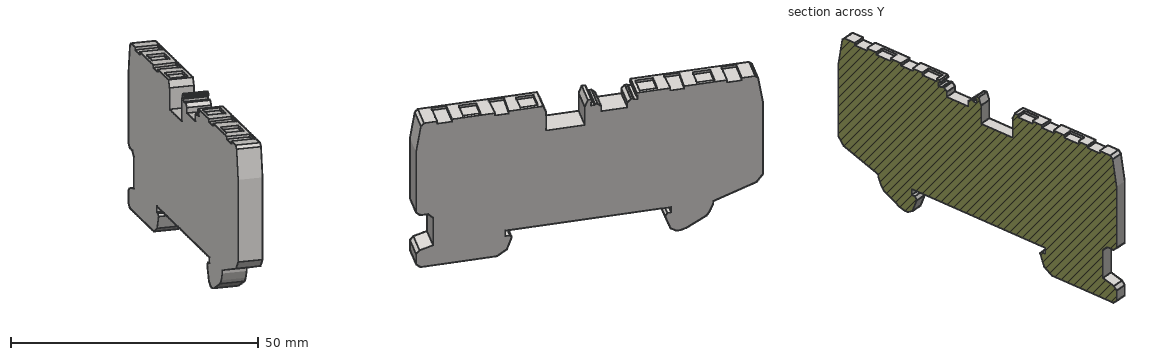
import cadquery as cq

length = 72.4
thickness = 5.2
height = 35.4

rail_z = 6.0
lip_z = 4.7
groove_z = 33.9
shoulder_z = 34.1
slot_left = 38.65
slot_right = 44.1
slot_floor_z = 32.15
notch_left = 27.15
notch_right = 35.2
notch_floor_z = 29.3
neck_x = 3.55

taper_start_z = 28.5
taper_end_z = 34.75
taper_inset = 1.0
bevel_inset = 1.7

mirror_x = length / 2
pocket_depth = 0.6
pocket_back_wall = 0.35
end_pocket = (4.4, 7.5)
mid_pocket_front = (16.5, 19.3)
mid_pocket_back = (16.3, 19.55)
window_size = 3.7
window_centers = (11.8, 23.75)
window_offset_y = -0.1

front_y = -thickness / 2
back_y = thickness / 2


def body():
    """Flat housing: the side outline extruded through the thickness."""
    left_end = [
        (bevel_inset, height),
        (taper_inset, taper_end_z),
        (0, taper_start_z),
        (0, 13.6),
        (0.9, 12.8),
        (2.5, 12.8),
        (neck_x, 11.7),
        (neck_x, 5.0),
        (0.7, 4.2),
        (0, 3.4),
        (0, 0.9),
        (0.9, 0),
    ]
    left_foot = [
        (16.9, 0),
        (19.0, 1.4),
        (20.0, 4.2),
        (19.55, lip_z),
        (18.6, lip_z),
        (18.6, rail_z),
    ]
    right_foot = [
        (53.2, rail_z),
        (53.2, lip_z),
        (52.4, lip_z),
        (51.9, 3.9),
        (53.1, 0.8),
        (54.3, 0),
        (55.2, 0),
        (56.4, 0.35),
        (60.6, 2.7),
        (61.25, 3.6),
        (62.0, 5.3),
        (62.05, rail_z),
    ]
    right_end = [
        (71.0, 9.2),
        (length, 11.0),
        (length, taper_start_z),
        (length - taper_inset, taper_end_z),
        (length - bevel_inset, height),
    ]
    marker_slot = [
        (46.05, height),
        (45.8, 34.9),
        (46.25, 34.7),
        (46.25, groove_z),
        (45.55, groove_z),
        (45.25, shoulder_z),
        (44.8, shoulder_z),
        (slot_right, 33.4),
        (slot_right, slot_floor_z),
        (slot_left, slot_floor_z),
        (slot_left, 33.3),
        (37.9, shoulder_z),
        (37.35, shoulder_z),
        (37.2, groove_z),
        (36.5, groove_z),
        (36.5, 34.45),
        (36.7, 34.8),
        (36.7, 35.1),
        (36.55, height),
        (35.85, height),
    ]
    notch = [
        (notch_right, 33.75),
        (notch_right, notch_floor_z),
        (notch_left, notch_floor_z),
        (notch_left, 33.9),
        (26.5, height),
    ]
    outline = left_end + left_foot + right_foot + right_end + marker_slot + notch
    return cq.Workplane("XZ", origin=(0, back_y, 0)).polyline(outline).close().extrude(thickness)


def top_cut(points):
    """Shallow pocket cut into the top edge, given its plan corners."""
    floor = cq.Workplane("XY", origin=(0, 0, height - pocket_depth))
    return floor.polyline(points).close().extrude(pocket_depth)


def open_pocket(front_span, back_span):
    """Pocket open to the front face; its width may change toward the back."""
    wall_y = back_y - pocket_back_wall
    return top_cut([
        (front_span[0], front_y),
        (front_span[1], front_y),
        (back_span[1], wall_y),
        (back_span[0], wall_y),
    ])


def window(center_x):
    """Square blind pocket closed on all four sides."""
    half = window_size / 2
    left, right = center_x - half, center_x + half
    low, high = window_offset_y - half, window_offset_y + half
    return top_cut([(left, low), (right, low), (right, high), (left, high)])


pockets = [
    open_pocket(end_pocket, end_pocket),
    open_pocket(mid_pocket_front, mid_pocket_back),
]
pockets += [window(center_x) for center_x in window_centers]

result = body()
for pocket in pockets:
    mirrored = pocket.mirror("YZ", basePointVector=(mirror_x, 0, 0))
    result = result.cut(pocket).cut(mirrored)